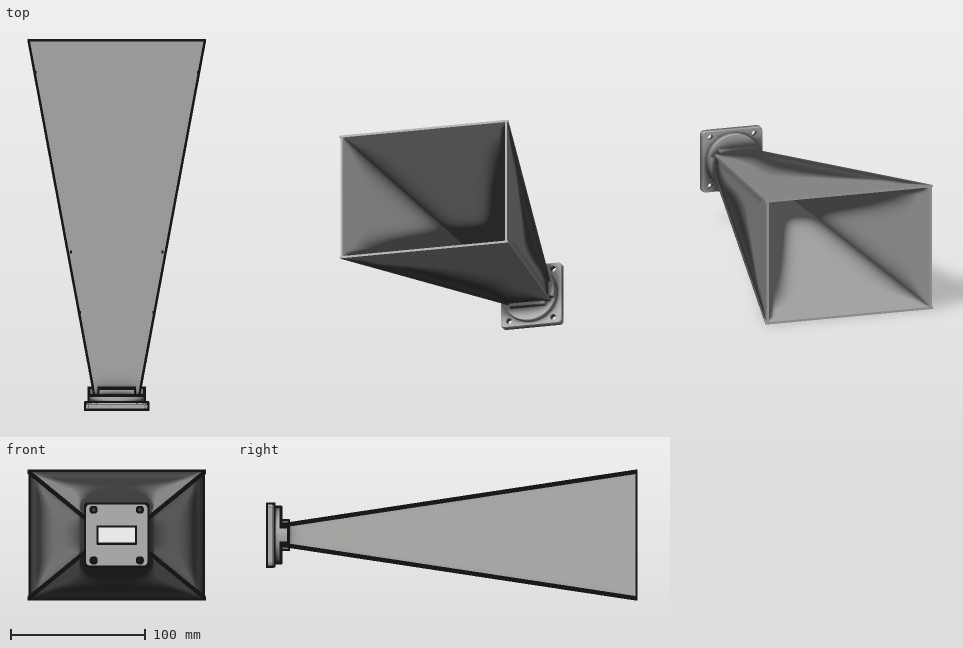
import cadquery as cq

total_length = 273.8
mouth_width = 131.0
mouth_height = 95.5

bore_width = 28.5
bore_height = 12.5

flange_side = 47.0
flange_thickness = 5.8
flange_corner_radius = 2.7
flange_bevel_length = 1.6
flange_bevel_depth = 0.4
bolt_diameter = 4.5
bolt_spacing_x = 34.2
bolt_spacing_z = 37.5

hub_diameter = 42.2
hub_thickness = 5.2
collar_length = 5.5
collar_side_height = 11.2
collar_middle_width = 27.5
collar_middle_height = 22.5
hub_bevel_length = 0.8
hub_bevel_depth = 0.3

plate_thickness = 1.6
plate_overhang = 0.8

hub_back = flange_thickness + hub_thickness
collar_back = hub_back + collar_length
side_inset = plate_overhang + plate_thickness
throat_width = bore_width + 2 * side_inset
throat_height = bore_height + 2 * plate_thickness


def facing_back(y):
    """XZ workplane at the given Y; negative extrusions run toward the mouth."""
    return cq.Workplane("XZ", origin=(0, y, 0))


def block(width, height, start, end):
    return facing_back(start).rect(width, height).extrude(start - end)


def horn_taper(inset_x, inset_z):
    """Rectangular taper from throat to mouth, drawn in from the horn envelope."""
    return (
        facing_back(hub_back)
        .rect(throat_width - 2 * inset_x, throat_height - 2 * inset_z)
        .workplane(offset=hub_back - total_length)
        .rect(mouth_width - 2 * inset_x, mouth_height - 2 * inset_z)
        .loft(ruled=True)
    )


def make_flange():
    plate = block(flange_side, flange_side, 0, flange_thickness)
    plate = plate.edges("|Y").fillet(flange_corner_radius)
    plate = plate.faces(">Y").chamfer(flange_bevel_length, flange_bevel_depth)
    bolts = (
        facing_back(0)
        .rect(bolt_spacing_x, bolt_spacing_z, forConstruction=True)
        .vertices()
        .circle(bolt_diameter / 2)
        .extrude(-flange_thickness)
    )
    return plate.cut(bolts)


def hub_disc(start, length):
    """Disc with a bevelled back rim."""
    disc = facing_back(start).circle(hub_diameter / 2).extrude(-length)
    return disc.faces(">Y").chamfer(hub_bevel_length, hub_bevel_depth)


def make_hub():
    hub = hub_disc(flange_thickness, hub_thickness)
    side_bar = block(hub_diameter, collar_side_height, flange_thickness, collar_back)
    side_bar = side_bar.intersect(hub_disc(flange_thickness, hub_thickness + collar_length))
    middle_block = block(collar_middle_width, collar_middle_height, hub_back, collar_back)
    middle_block = middle_block.faces(">Y").edges("|X").chamfer(hub_bevel_length, hub_bevel_depth)
    return hub.union(side_bar).union(middle_block)


def make_horn():
    top_and_bottom = horn_taper(0, 0).cut(horn_taper(0, plate_thickness))
    side_body = horn_taper(plate_overhang, plate_thickness)
    return side_body.union(top_and_bottom)


waveguide_bore = block(bore_width, bore_height, 0, hub_back)
horn_cavity = horn_taper(side_inset, plate_thickness)

result = make_flange().union(make_hub()).union(make_horn()).cut(waveguide_bore).cut(horn_cavity)